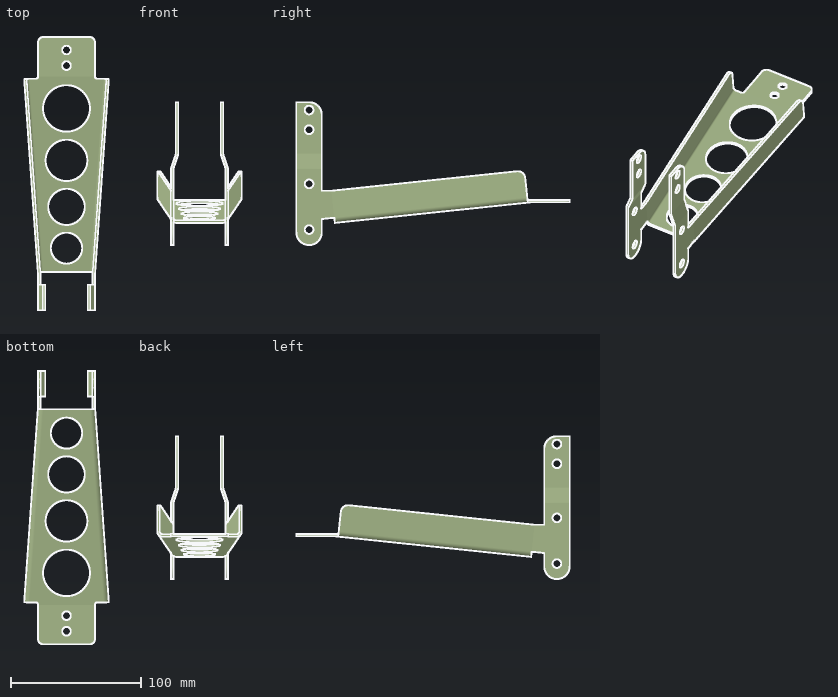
import cadquery as cq
import math

sheet = 2.0
inner_bend = 2.0
outer_bend = inner_bend + sheet
small_hole = 6.5

height = 109.8
upright_depth = 19.7
lower_width = 43.9
lower_half_width = lower_width / 2
upper_half_width = 18.3
jog_bottom = 59.0
jog_top = 70.0
upright_holes = [12.0, 47.0, 88.6, 103.7]

slope = 6.0
tray_front_y = 29.6
tray_front_z = 17.0
tray_length = 149.0
tray_height = 25.0
rear_width = 64.9
rear_half_width = rear_width / 2
flange_corner = 5.9
tray_holes = [(47.9, 24.0), (79.5, 28.0), (115.3, 32.0), (155.2, 36.0)]

total_length = 210.0
tab_half_width = lower_half_width
tab_bend_y = 179.8
tab_corner = 4.2
tab_holes = [188.0, 200.0]
tab_root_fillet = 1.7

pick_margin = 0.2
cut_overrun = 2.0
round_relief = 0.02

sin_slope = math.sin(math.radians(slope))
cos_slope = math.cos(math.radians(slope))
floor_length = (tab_bend_y - tray_front_y) / cos_slope
tab_bottom = tray_front_z + floor_length * sin_slope


def tilt(body):
    """Move a body from the flat tray frame to the sloping tray position."""
    return body.rotate((0, 0, 0), (1, 0, 0), slope).translate((0, tray_front_y, tray_front_z))


def tray_point(along, above):
    """(Y, Z) of a point given along and above the underside of the tray."""
    y = tray_front_y + along * cos_slope - above * sin_slope
    z = tray_front_z + along * sin_slope + above * cos_slope
    return y, z


def tapered_block(inset, overrun, bottom, bend_radius):
    """Tapered block with rounded lower side edges, inset from the outer walls of the tray."""
    taper = (rear_half_width - lower_half_width) / tray_length
    front = -overrun
    rear = tray_length + overrun
    front_half = lower_half_width - inset + taper * front
    rear_half = lower_half_width - inset + taper * rear
    outline = [(-front_half, front), (front_half, front), (rear_half, rear), (-rear_half, rear)]
    block = cq.Workplane("XY").workplane(offset=bottom).polyline(outline).close()
    block = block.extrude(tray_height + overrun - bottom)
    return block.faces("<Z").edges("not |X").fillet(bend_radius)


def make_tray():
    outer = tapered_block(0, 0, 0, outer_bend)
    inner = tapered_block(sheet, cut_overrun, sheet, inner_bend)
    side_profile = (
        cq.Workplane("YZ")
        .rect(tray_length, tray_height, centered=False)
        .extrude(rear_half_width, both=True)
        .edges(">Y and >Z")
        .fillet(flange_corner)
    )
    tray = outer.cut(inner).intersect(side_profile)
    neck_start = tray_length / 2
    neck = cq.Workplane("XY").box(
        2 * tab_half_width, floor_length - neck_start, sheet, centered=(True, False, False)
    )
    neck = neck.translate((0, neck_start, 0))
    tray = tray.union(neck)
    root_corners = cq.selectors.BoxSelector(
        (-tab_half_width - pick_margin, tray_length - pick_margin, -pick_margin),
        (tab_half_width + pick_margin, tray_length + pick_margin, sheet + pick_margin),
    )
    tray = tray.edges("|Z").edges(root_corners).fillet(tab_root_fillet)
    for y, diameter in tray_holes:
        along = (y - tray_front_y) / cos_slope
        tray = tray.cut(cq.Workplane("XY").center(0, along).circle(diameter / 2).extrude(sheet))
    return tilt(tray)


def make_tab():
    profile = [
        tray_point(floor_length, 0),
        (total_length, tab_bottom),
        (total_length, tab_bottom + sheet),
        (tab_bend_y, tab_bottom + sheet),
        tray_point(floor_length, sheet),
    ]
    tab = cq.Workplane("YZ").polyline(profile).close().extrude(tab_half_width, both=True)
    tab = tab.edges("|Z and >Y").fillet(tab_corner)
    holes = (
        cq.Workplane("XY")
        .workplane(offset=tab_bottom)
        .pushPoints([(0, y) for y in tab_holes])
        .circle(small_hole / 2)
        .extrude(sheet)
    )
    return tab.cut(holes)


def make_upright():
    """Right-hand upright with its jog and the link that joins the tray flange."""
    jog_angle = math.atan2(lower_half_width - upper_half_width, jog_top - jog_bottom)
    jog_shift = sheet * math.tan(jog_angle / 2)
    section = [
        (lower_half_width, 0),
        (lower_half_width, jog_bottom),
        (upper_half_width, jog_top),
        (upper_half_width, height),
        (upper_half_width - sheet, height),
        (upper_half_width - sheet, jog_top - jog_shift),
        (lower_half_width - sheet, jog_bottom - jog_shift),
        (lower_half_width - sheet, 0),
    ]
    sheet_body = cq.Workplane("XZ").polyline(section).close().extrude(-tray_front_y)
    bends = [
        (section[1], outer_bend),
        (section[2], inner_bend),
        (section[5], outer_bend),
        (section[6], inner_bend),
    ]
    for (x, z), radius in bends:
        bend = cq.selectors.BoxSelector(
            (x - pick_margin, -pick_margin, z - pick_margin),
            (x + pick_margin, tray_front_y + pick_margin, z + pick_margin),
        )
        sheet_body = sheet_body.edges("|Y").edges(bend).fillet(radius)

    strip = cq.Workplane("YZ").rect(upright_depth, height, centered=False).extrude(lower_half_width)
    end_radius = upright_depth / 2 - round_relief
    strip = strip.edges("|X and <Z").fillet(end_radius)
    strip = strip.edges("|X and >Y and >Z").fillet(end_radius)
    link_bottom = tray_point(0, outer_bend)
    link_root_z = link_bottom[1] - (link_bottom[0] - upright_depth) * sin_slope / cos_slope
    link_end, link_top = tray_point(0, tray_height)
    link = (
        cq.Workplane("YZ")
        .polyline([
            (upright_depth / 2, link_root_z),
            (upright_depth, link_root_z),
            link_bottom,
            (link_end, link_top),
            (upright_depth / 2, link_top),
        ])
        .close()
        .extrude(lower_half_width)
    )
    holes = (
        cq.Workplane("YZ")
        .pushPoints([(upright_depth / 2, z) for z in upright_holes])
        .circle(small_hole / 2)
        .extrude(lower_half_width)
    )
    return sheet_body.intersect(strip.union(link)).cut(holes)


right_upright = make_upright()
left_upright = right_upright.mirror("YZ")
result = make_tray().union(make_tab()).union(right_upright).union(left_upright)